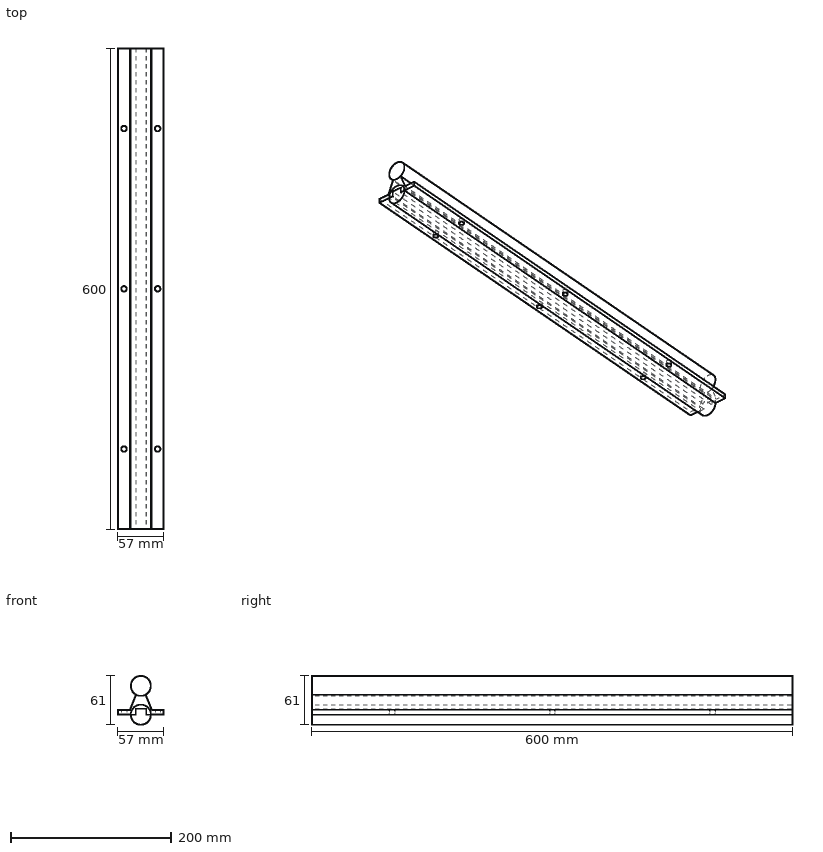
import cadquery as cq

length = 600.0
base_width = 57.0
overall_height = 61.0

rod_diameter = 25.0
rod_radius = rod_diameter / 2
lower_rod_z = rod_radius
upper_rod_z = overall_height - rod_radius

flange_bottom_z = 12.5
flange_thickness = 6.0
flange_top_z = flange_bottom_z + flange_thickness
foot_width = 27.5
neck_width = 12.0
neck_z = 38.0

tongue_width = 13.0
tongue_top_z = 20.0

hole_diameter = 6.5
hole_spacing_x = 42.0
hole_pitch_y = length / 3
hole_rows = 3


def make_cylinder(center_z):
    """Full-length cylinder along Y."""
    return (
        cq.Workplane("XZ", origin=(0, length / 2, center_z))
        .circle(rod_radius)
        .extrude(length)
    )


def make_bar(width, bottom_z, top_z):
    """Full-length rectangular bar along Y, centred on X = 0."""
    return (
        cq.Workplane("XY", origin=(0, 0, bottom_z))
        .rect(width, length)
        .extrude(top_z - bottom_z)
    )


def make_support(upper_rod, lower_cylinder):
    """Flanged rail with a round seat for each rod and mounting holes."""
    right_side = [
        (base_width / 2, flange_bottom_z),
        (base_width / 2, flange_top_z),
        (foot_width / 2, flange_top_z),
        (neck_width / 2, neck_z),
    ]
    left_side = [(-x, z) for x, z in reversed(right_side)]
    rail = (
        cq.Workplane("XZ", origin=(0, length / 2, 0))
        .polyline(right_side + left_side)
        .close()
        .extrude(length)
    )
    holes = (
        cq.Workplane("XY", origin=(0, 0, flange_bottom_z))
        .rarray(hole_spacing_x, hole_pitch_y, 2, hole_rows)
        .circle(hole_diameter / 2)
        .extrude(flange_thickness)
    )
    return rail.cut(upper_rod).cut(lower_cylinder).cut(holes)


def make_saddle(lower_cylinder):
    """Upper part of the lower cylinder, with a channel for the rod's tongue."""
    upper_part = lower_cylinder.intersect(
        make_bar(rod_diameter, flange_bottom_z, lower_rod_z + rod_radius)
    )
    return upper_part.cut(make_bar(tongue_width, flange_bottom_z, tongue_top_z))


upper_rod = make_cylinder(upper_rod_z)
lower_cylinder = make_cylinder(lower_rod_z)
support = make_support(upper_rod, lower_cylinder)
saddle = make_saddle(lower_cylinder)
lower_rod = lower_cylinder.cut(saddle)

result = cq.Compound.makeCompound(
    [
        upper_rod.val(),
        lower_rod.solids().val(),
        saddle.solids().val(),
        support.solids().val(),
    ]
)